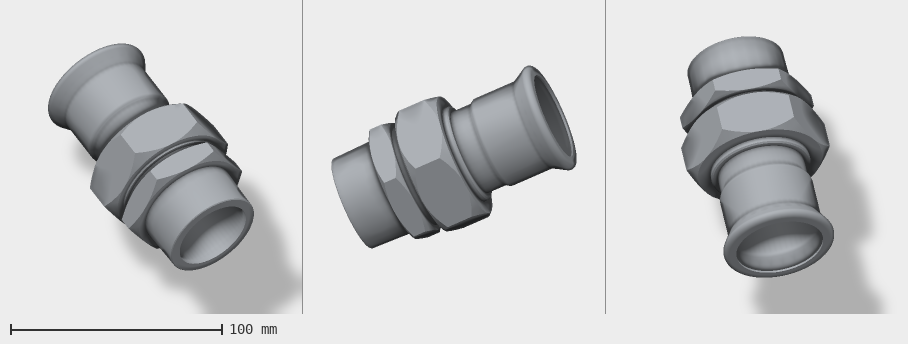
import cadquery as cq
import math


STOP_X = 31.3
FLANGE_X = 44.0
NUT_X = 47.0
NUT_LENGTH = 22.0
THREAD_STEP_X = 50.0
THREAD_OUT = 1.0
BODY_HEX_X = 73.0
BODY_HEX_LENGTH = 11.0
TOTAL_LENGTH = 106.0
NUT_THREAD_END_X = NUT_X + NUT_LENGTH + THREAD_OUT
PIPE_THREAD_X = BODY_HEX_X + BODY_HEX_LENGTH

SOCKET_R = 45.0 / 2
TUBE_R = 42.0 / 2
FLANGE_R = 48.0 / 2
NUT_THREAD_R = 53.75 / 2
NECK_R = 50.0 / 2
MOUTH_R = 42.0 / 2
BORE_R = 37.0 / 2

WALL = 1.0
BEAD_R = 2.5
BEAD_CREST_R = 53.5 / 2
BEAD_CENTRE_R = BEAD_CREST_R - BEAD_R
BEAD_ANGLE = math.radians(30)
BEAD_BLEND_R = 2.0

STEP_ANGLE = math.radians(35)
STEP_BLEND_R = 2.25

FLANGE_CHAMFER = 0.7

PIPE_THREAD_START_R = 47.8 / 2
PIPE_THREAD_TAPER = 1 / 32
PIPE_THREAD_CHAMFER = 0.4

NUT_FLATS = 60.0
NUT_CHAMFER_ANGLE = math.radians(45)
BODY_HEX_FLATS = 55.0
BODY_HEX_CHAMFER_ANGLE = math.radians(30)


def arc_point(centre, radius, angle):
    """Point on a circle; the angle is measured from +radius towards +X."""
    return (centre[0] + radius * math.sin(angle), centre[1] + radius * math.cos(angle))


def revolve_about_x(profile):
    return profile.close().revolve(360, (0, 0, 0), (1, 0, 0))


def cylinder(start, end, radius):
    return cq.Workplane("YZ", origin=(start, 0, 0)).circle(radius).extrude(end - start)


def chamfered_hexagon(start, length, flats, chamfer_angle):
    """Hexagonal prism with corners on Y, turned conically down to the flats at both ends."""
    corner_r = flats / 2 / math.cos(math.pi / 6)
    prism = cq.Workplane("YZ", origin=(start, 0, 0)).polygon(6, 2 * corner_r).extrude(length)
    chamfer_length = (corner_r - flats / 2) * math.tan(chamfer_angle)
    end = start + length
    turned = revolve_about_x(
        cq.Workplane("XY")
        .moveTo(start, 0)
        .lineTo(start, flats / 2)
        .lineTo(start + chamfer_length, corner_r)
        .lineTo(end - chamfer_length, corner_r)
        .lineTo(end, flats / 2)
        .lineTo(end, 0)
    )
    return prism.intersect(turned)


bead_centre = (BEAD_R, BEAD_CENTRE_R)
bead_blend_r = SOCKET_R + BEAD_BLEND_R
bead_blend_x = BEAD_R + (
    BEAD_R + BEAD_BLEND_R - (bead_blend_r - BEAD_CENTRE_R) * math.cos(BEAD_ANGLE)
) / math.sin(BEAD_ANGLE)
bead_blend_centre = (bead_blend_x, bead_blend_r)


def trace_bead(profile, inset):
    """Add bead, cone, blend and tube start, moved inside the wall by the inset."""
    bead_r = BEAD_R - inset
    blend_r = BEAD_BLEND_R + inset
    below = math.pi + BEAD_ANGLE
    return (
        profile.threePointArc(
            arc_point(bead_centre, bead_r, 0),
            arc_point(bead_centre, bead_r, BEAD_ANGLE),
        )
        .lineTo(*arc_point(bead_blend_centre, blend_r, below))
        .threePointArc(
            arc_point(bead_blend_centre, blend_r, math.pi + BEAD_ANGLE / 2),
            arc_point(bead_blend_centre, blend_r, math.pi),
        )
    )


def trace_step(profile):
    """Add the S-shaped step from the socket radius to the tube radius."""
    drop = SOCKET_R - TUBE_R
    blend_drop = STEP_BLEND_R * (1 - math.cos(STEP_ANGLE))
    blend_length = STEP_BLEND_R * math.sin(STEP_ANGLE)
    slope_length = (drop - 2 * blend_drop) / math.tan(STEP_ANGLE)
    step_end_x = STOP_X + 2 * blend_length + slope_length
    upper = (STOP_X, SOCKET_R - STEP_BLEND_R)
    lower = (step_end_x, TUBE_R + STEP_BLEND_R)
    return (
        profile.lineTo(STOP_X, SOCKET_R)
        .threePointArc(
            arc_point(upper, STEP_BLEND_R, STEP_ANGLE / 2),
            arc_point(upper, STEP_BLEND_R, STEP_ANGLE),
        )
        .lineTo(*arc_point(lower, STEP_BLEND_R, math.pi + STEP_ANGLE))
        .threePointArc(
            arc_point(lower, STEP_BLEND_R, math.pi + STEP_ANGLE / 2),
            arc_point(lower, STEP_BLEND_R, math.pi),
        )
    )


def make_fitting():
    thread_end_x = TOTAL_LENGTH - PIPE_THREAD_CHAMFER
    thread_end_r = PIPE_THREAD_START_R - (thread_end_x - PIPE_THREAD_X) * PIPE_THREAD_TAPER
    profile = trace_bead(cq.Workplane("XY").moveTo(0, 0).lineTo(0, BEAD_CENTRE_R), 0)
    profile = (
        trace_step(profile)
        .lineTo(FLANGE_X, TUBE_R)
        .lineTo(FLANGE_X, FLANGE_R - FLANGE_CHAMFER)
        .lineTo(FLANGE_X + FLANGE_CHAMFER, FLANGE_R)
        .lineTo(THREAD_STEP_X, FLANGE_R)
        .lineTo(THREAD_STEP_X, NUT_THREAD_R)
        .lineTo(NUT_THREAD_END_X, NUT_THREAD_R)
        .lineTo(NUT_THREAD_END_X, NECK_R)
        .lineTo(PIPE_THREAD_X, NECK_R)
        .lineTo(PIPE_THREAD_X, PIPE_THREAD_START_R)
        .lineTo(thread_end_x, thread_end_r)
        .lineTo(TOTAL_LENGTH, thread_end_r - PIPE_THREAD_CHAMFER)
        .lineTo(TOTAL_LENGTH, 0)
    )
    outside = revolve_about_x(profile)
    body_hex = chamfered_hexagon(
        BODY_HEX_X, BODY_HEX_LENGTH, BODY_HEX_FLATS, BODY_HEX_CHAMFER_ANGLE
    )

    cavity_profile = (
        cq.Workplane("XY")
        .moveTo(0, 0)
        .lineTo(0, MOUTH_R)
        .lineTo(WALL, MOUTH_R)
        .lineTo(WALL, BEAD_CENTRE_R)
    )
    cavity_profile = (
        trace_bead(cavity_profile, WALL)
        .lineTo(STOP_X, SOCKET_R - WALL)
        .lineTo(STOP_X, 0)
    )
    cavity = revolve_about_x(cavity_profile)
    bore = cylinder(0, TOTAL_LENGTH, BORE_R)
    return outside.union(body_hex).cut(cavity).cut(bore)


def make_nut():
    nut_end_x = NUT_X + NUT_LENGTH
    hexagon = chamfered_hexagon(NUT_X, NUT_LENGTH, NUT_FLATS, NUT_CHAMFER_ANGLE)
    flange_hole = cylinder(NUT_X, THREAD_STEP_X, FLANGE_R)
    thread_hole = cylinder(THREAD_STEP_X, nut_end_x, NUT_THREAD_R)
    return hexagon.cut(flange_hole).cut(thread_hole)


fitting = make_fitting()
nut = make_nut()

result = cq.Compound.makeCompound([fitting.val(), nut.val()])